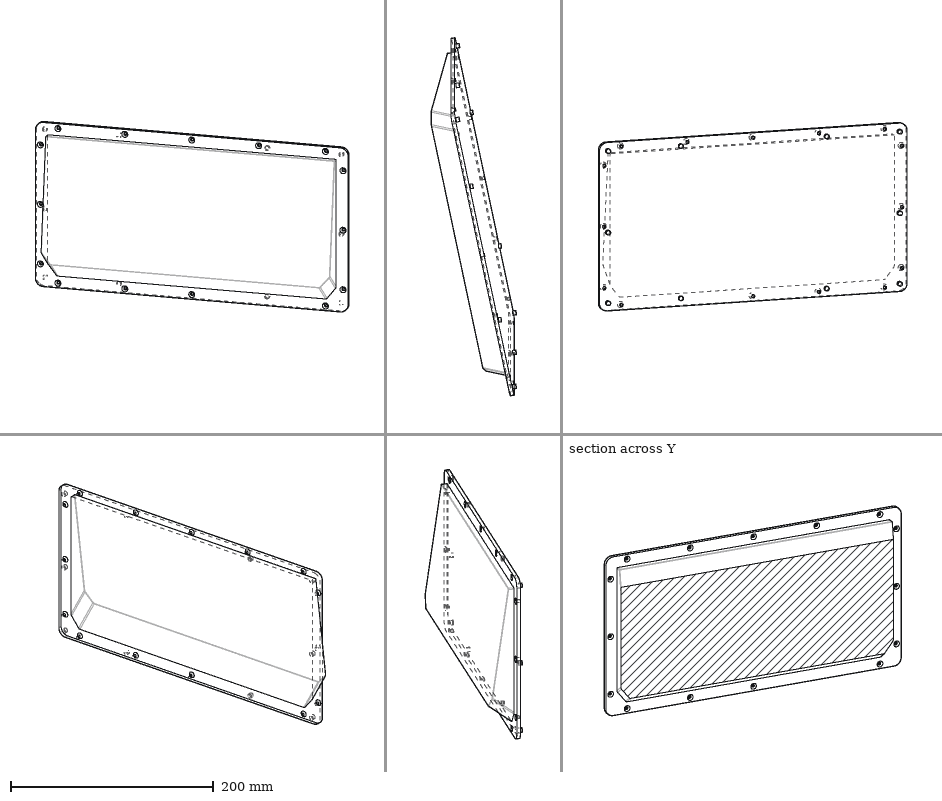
import cadquery as cq

PLATE_LENGTH = 321.2
PLATE_HEIGHT = 169.3
PLATE_THICKNESS = 4.0
PLATE_CORNER_RADIUS = 8.0

HOOD_LENGTH = 296.8
HOOD_HEIGHT = 145.0
HOOD_TOP_DEPTH = 5.8
HOOD_DEPTH = 23.8
HOOD_LIP_HEIGHT = -54.0
HOOD_CORNER_CHAMFER = 10.0
HOOD_CORNER_ROUND = 2.2
HOOD_TOP_CORNER_ROUND = 1.0
HOOD_FRONT_ROUND = 0.48

HOLE_DIAMETER = 3.0
COUNTERSINK_DIAMETER = 6.0
COUNTERSINK_ANGLE = 90
HOLE_ROW_HEIGHT = 79.5
HOLE_ROW_PITCH = 68.7
HOLE_COLUMN_X = 155.5
HOLE_COLUMN_PITCH = 61.5

PEG_DIAMETER = 4.5
OUTER_PEG_LENGTH = 3.2
INNER_PEG_LENGTH = 2.5
PEG_ROW_HEIGHT = 76.5
OUTER_PEG_X = 152.2
INNER_PEG_X = OUTER_PEG_X / 2
SIDE_PEG_HEIGHT = -5.5


def make_plate():
    return (
        cq.Workplane("XZ")
        .rect(PLATE_LENGTH, PLATE_HEIGHT)
        .extrude(-PLATE_THICKNESS)
        .edges("|Y")
        .fillet(PLATE_CORNER_RADIUS)
    )


def make_hood():
    half_height = HOOD_HEIGHT / 2
    profile = [
        (0, half_height),
        (-HOOD_TOP_DEPTH, half_height),
        (-HOOD_DEPTH, HOOD_LIP_HEIGHT),
        (0, -half_height),
    ]
    hood = (
        cq.Workplane("YZ")
        .polyline(profile)
        .close()
        .extrude(HOOD_LENGTH / 2, both=True)
    )
    undercut = cq.Vector(0, -HOOD_DEPTH, HOOD_LIP_HEIGHT + half_height)
    along_undercut = cq.selectors.ParallelDirSelector(undercut)
    hood = hood.edges(along_undercut).chamfer(HOOD_CORNER_CHAMFER)
    hood = hood.edges(along_undercut).fillet(HOOD_CORNER_ROUND)
    hood = hood.edges("|Y").fillet(HOOD_TOP_CORNER_ROUND)
    slope_normal = cq.Vector(0, HOOD_LIP_HEIGHT - half_height, HOOD_DEPTH - HOOD_TOP_DEPTH)
    front_face = cq.selectors.DirectionMinMaxSelector(slope_normal, True)
    return hood.faces(front_face).edges().fillet(HOOD_FRONT_ROUND)


def hole_positions():
    top_row = [(i * HOLE_ROW_PITCH, HOLE_ROW_HEIGHT) for i in (-2, -1, 0, 1, 2)]
    bottom_row = [(i * HOLE_ROW_PITCH, -HOLE_ROW_HEIGHT) for i in (-2, -1, 0, 2)]
    columns = [(side * HOLE_COLUMN_X, i * HOLE_COLUMN_PITCH) for side in (-1, 1) for i in (-1, 0, 1)]
    return top_row + bottom_row + columns


def make_pegs(peg_x, heights, length):
    """A mirrored pair of peg columns at X = +-peg_x, with a peg at each of the heights."""
    positions = [(side * peg_x, height) for side in (-1, 1) for height in heights]
    return (
        cq.Workplane("XZ", origin=(0, PLATE_THICKNESS, 0))
        .pushPoints(positions)
        .circle(PEG_DIAMETER / 2)
        .extrude(-length)
    )


plate = (
    make_plate()
    .faces("<Y")
    .workplane(origin=(0, 0, 0))
    .pushPoints(hole_positions())
    .cskHole(HOLE_DIAMETER, COUNTERSINK_DIAMETER, COUNTERSINK_ANGLE)
)
outer_pegs = make_pegs(
    OUTER_PEG_X, (-PEG_ROW_HEIGHT, SIDE_PEG_HEIGHT, PEG_ROW_HEIGHT), OUTER_PEG_LENGTH
)
inner_pegs = make_pegs(INNER_PEG_X, (-PEG_ROW_HEIGHT, PEG_ROW_HEIGHT), INNER_PEG_LENGTH)
result = plate.union(make_hood()).union(outer_pegs).union(inner_pegs)